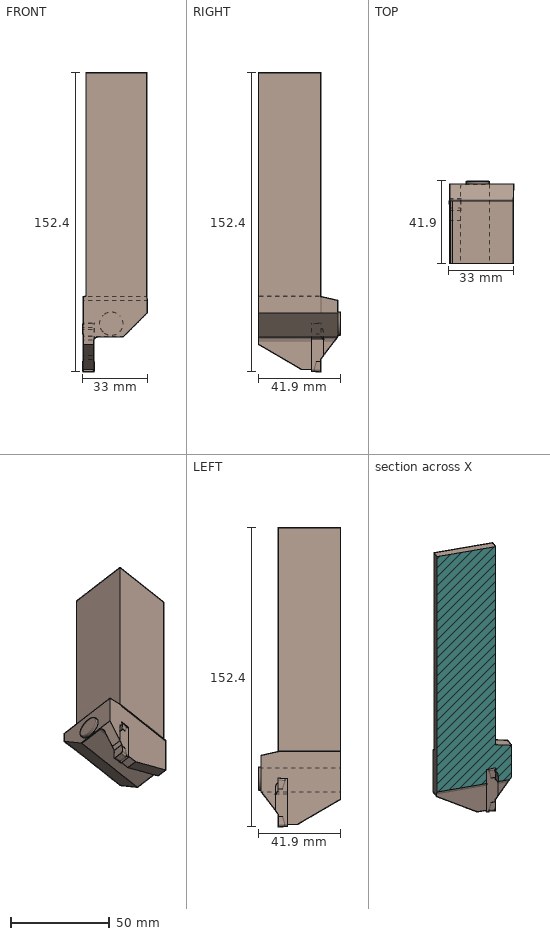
import cadquery as cq

TOTAL_LENGTH = 152.4
SHANK_LEFT = 1.7
SHANK_RIGHT = 32.8
SHANK_DEPTH = 31.9

HEAD_LEFT = 0.3
HEAD_RIGHT_AT_BACK = 33.0
HEAD_BACK = 40.5
HEAD_TOP = 38.4
HEAD_BACK_TOP = 36.5
BACK_LEDGE_WIDTH = 0.6
HEAD_BACK_BOTTOM = 18.1
FRONT_SLOPE_TOP = 14.2
FRONT_SLOPE_BOTTOM_Y = 22.0
LEDGE_SLOPE_WIDTH = 0.9
LEDGE_SLOPE_HEIGHT = 0.5

BLADE_WIDTH = 5.5
BLADE_BOTTOM = 1.4
BLADE_RIGHT = HEAD_LEFT + BLADE_WIDTH
BLADE_FILLET = 2.0
HEAD_UNDERSIDE = 17.8
BEVEL_SIZE = 12.2

BOSS_DIAMETER = 11.9
BOSS_HEIGHT = 1.4
BOSS_X = 14.6
BOSS_Z = 24.7
BOSS_FILLET = 0.5

INSERT_LENGTH = 25.0
INSERT_MIDDLE = INSERT_LENGTH / 2
INSERT_SEAT_Y = 27.1
CUTTING_FACE_Y = SHANK_DEPTH
INSERT_RIDGE_Y = 33.2
RIDGE_BOTTOM = 8.5
RIDGE_FOOT = 6.5
INSERT_END_RELIEF = 0.3
TIP_FLARE = 0.3
TIP_HEIGHT = 5.5
TIP_REAR_Y = 28.3
TIP_UPPER_NARROWING = 0.1
TIP_CORNER = 0.9

CLEARANCE_TOP = 22.7
CLEARANCE_BEND_Y = 32.9
CLEARANCE_BEND_Z = 21.6
CLEARANCE_BOTTOM = 19.5


def prism_along_x(points, x_start, x_end):
    """Extrude a closed (y, z) outline from x_start to x_end."""
    return cq.Workplane("YZ", origin=(x_start, 0, 0)).polyline(points).close().extrude(x_end - x_start)


def make_head():
    side = prism_along_x(
        [
            (0, FRONT_SLOPE_TOP),
            (FRONT_SLOPE_BOTTOM_Y, BLADE_BOTTOM),
            (CUTTING_FACE_Y, BLADE_BOTTOM),
            (CUTTING_FACE_Y, RIDGE_FOOT),
            (INSERT_RIDGE_Y, RIDGE_BOTTOM),
            (HEAD_BACK, HEAD_BACK_BOTTOM),
            (HEAD_BACK, HEAD_BACK_TOP),
            (SHANK_DEPTH + BACK_LEDGE_WIDTH, HEAD_TOP),
            (0, HEAD_TOP),
        ],
        HEAD_LEFT,
        HEAD_RIGHT_AT_BACK,
    )
    plan = (
        cq.Workplane("XY")
        .polyline(
            [
                (HEAD_LEFT, 0),
                (SHANK_RIGHT, 0),
                (SHANK_RIGHT, SHANK_DEPTH),
                (HEAD_RIGHT_AT_BACK, HEAD_BACK),
                (HEAD_LEFT, HEAD_BACK),
            ]
        )
        .close()
        .extrude(HEAD_TOP)
    )
    return side.intersect(plan).cut(make_underside_cutter())


def make_underside_cutter():
    """Space to the right of the blade, below the underside and its bevel."""
    bevel_top = HEAD_UNDERSIDE + BEVEL_SIZE
    return (
        cq.Workplane("XZ")
        .moveTo(BLADE_RIGHT, 0)
        .lineTo(BLADE_RIGHT, HEAD_UNDERSIDE - BLADE_FILLET)
        .radiusArc((BLADE_RIGHT + BLADE_FILLET, HEAD_UNDERSIDE), BLADE_FILLET)
        .lineTo(SHANK_RIGHT - BEVEL_SIZE, HEAD_UNDERSIDE)
        .lineTo(SHANK_RIGHT, bevel_top)
        .lineTo(HEAD_RIGHT_AT_BACK, bevel_top)
        .lineTo(HEAD_RIGHT_AT_BACK, 0)
        .close()
        .extrude(-HEAD_BACK)
    )


def make_shank():
    return cq.Workplane("XY").box(
        SHANK_RIGHT - SHANK_LEFT, SHANK_DEPTH, TOTAL_LENGTH - HEAD_TOP, centered=False
    ).translate((SHANK_LEFT, 0, HEAD_TOP))


def make_ledge_slope():
    """Shallow sloped strip between the head's left ledge and the shank."""
    return (
        cq.Workplane("XZ")
        .moveTo(SHANK_LEFT, HEAD_TOP)
        .lineTo(SHANK_LEFT, HEAD_TOP + LEDGE_SLOPE_HEIGHT)
        .lineTo(SHANK_LEFT - LEDGE_SLOPE_WIDTH, HEAD_TOP)
        .close()
        .extrude(-SHANK_DEPTH)
    )


def make_boss():
    return (
        cq.Workplane("XZ", origin=(BOSS_X, HEAD_BACK, BOSS_Z))
        .circle(BOSS_DIAMETER / 2)
        .extrude(-BOSS_HEIGHT)
        .faces(">Y")
        .edges()
        .fillet(BOSS_FILLET)
    )


def make_pocket():
    """Insert seat, open to the left and downward, deep enough for the flared tip."""
    return prism_along_x(
        [
            (INSERT_SEAT_Y, 0),
            (CUTTING_FACE_Y, 0),
            (CUTTING_FACE_Y, RIDGE_FOOT),
            (INSERT_RIDGE_Y, RIDGE_BOTTOM),
            (INSERT_RIDGE_Y, CLEARANCE_BOTTOM),
            (CLEARANCE_BEND_Y, CLEARANCE_BEND_Z),
            (CUTTING_FACE_Y, CLEARANCE_TOP),
            (CUTTING_FACE_Y, INSERT_LENGTH),
            (INSERT_SEAT_Y, INSERT_LENGTH - INSERT_END_RELIEF),
        ],
        HEAD_LEFT - TIP_FLARE,
        BLADE_RIGHT + TIP_FLARE,
    )


def make_holder():
    holder = make_head().union(make_shank()).union(make_ledge_slope()).union(make_boss())
    return holder.cut(make_pocket())


def tip_section(half_width, y, bottom):
    """Tip outline across the insert: rounded lower corners, narrowing upwards."""
    upper = half_width - TIP_UPPER_NARROWING
    corner_top = bottom + TIP_CORNER
    middle = HEAD_LEFT + BLADE_WIDTH / 2
    return (
        cq.Workplane("XZ", origin=(middle, y, 0))
        .moveTo(-upper, TIP_HEIGHT)
        .lineTo(-half_width, corner_top)
        .radiusArc((TIP_CORNER - half_width, bottom), -TIP_CORNER)
        .lineTo(half_width - TIP_CORNER, bottom)
        .radiusArc((half_width, corner_top), -TIP_CORNER)
        .lineTo(upper, TIP_HEIGHT)
        .close()
        .val()
    )


def make_tip():
    """Lower cutting tip, tapering from the cutting face towards the seat."""
    half_width = BLADE_WIDTH / 2
    face = tip_section(half_width + TIP_FLARE, CUTTING_FACE_Y, 0)
    rear = tip_section(half_width, TIP_REAR_Y, INSERT_END_RELIEF)
    return cq.Workplane("XY").newObject([cq.Solid.makeLoft([face, rear], True)])


def make_insert():
    core_bottom = INSERT_END_RELIEF + TIP_CORNER
    lower = [
        (INSERT_SEAT_Y, INSERT_END_RELIEF),
        (TIP_REAR_Y, INSERT_END_RELIEF),
        (TIP_REAR_Y, core_bottom),
        (CUTTING_FACE_Y, core_bottom),
        (CUTTING_FACE_Y, RIDGE_FOOT),
        (INSERT_RIDGE_Y, RIDGE_BOTTOM),
    ]
    upper = [(y, INSERT_LENGTH - z) for y, z in reversed(lower)]
    body = prism_along_x(lower + upper, HEAD_LEFT, BLADE_RIGHT)
    tip = make_tip()
    opposite_tip = tip.mirror("XY", (0, 0, INSERT_MIDDLE))
    return body.union(tip).union(opposite_tip)


holder = make_holder()
insert = make_insert()
result = cq.Compound.makeCompound([holder.val(), insert.val()])